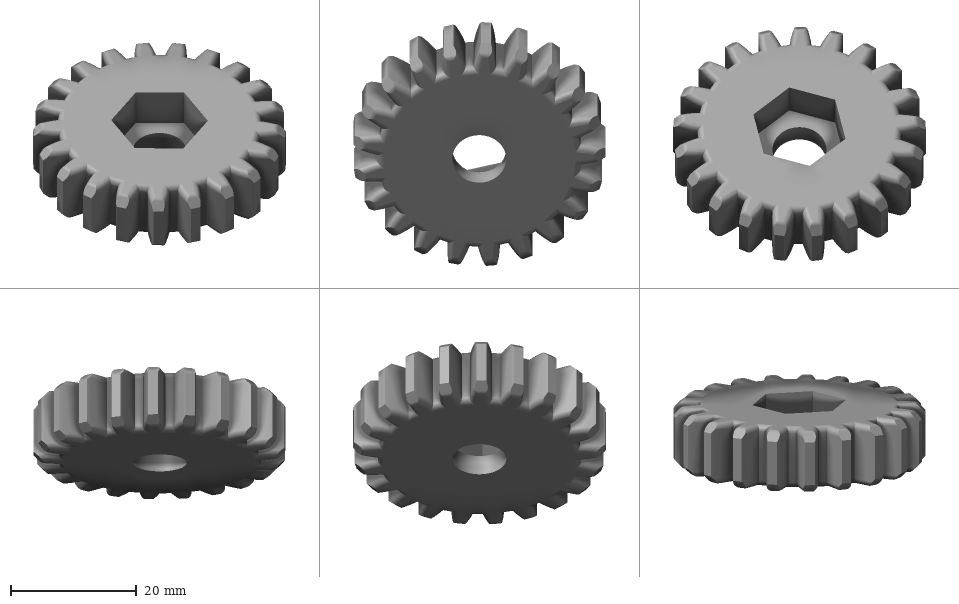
import cadquery as cq
import math

overall_width = 40.2
thickness = 10.0
tooth_count = 21
tip_land_angle = 4.5
pitch_radius = 18.38
pitch_half_thickness = 1.35
root_half_thickness = 1.75
root_radius = 16.2
tip_chamfer = 1.5
edge_fillet = 1.0
bore_diameter = 8.55
hex_across_corners = 15.35
hex_depth = 6.5
cut_margin = 2.0

pitch_angle = 360.0 / tooth_count
width_corner_angle = pitch_angle / 4 - tip_land_angle / 2
tip_radius = overall_width / 2 / math.cos(math.radians(width_corner_angle))
tip_flat_distance = tip_radius * math.cos(math.radians(tip_land_angle / 2))


def space_point(radius, tooth_half_angle, side):
    """Point on a flank of the tooth space centred on the -Y axis."""
    angle = math.radians(pitch_angle / 2 - tooth_half_angle)
    return (side * radius * math.sin(angle), -radius * math.cos(angle))


def half_angle(half_thickness, radius):
    """Half the angle that a tooth spans at a radius, in degrees."""
    return math.degrees(math.asin(half_thickness / radius))


def tooth_space():
    """Cutter for one gap: flat root, two arc flanks, open beyond the tips."""
    root_angle = half_angle(root_half_thickness, root_radius)
    middle_angle = half_angle(pitch_half_thickness, pitch_radius)
    left_root, right_root = [space_point(root_radius, root_angle, side) for side in (-1, 1)]
    left_middle, right_middle = [space_point(pitch_radius, middle_angle, side) for side in (-1, 1)]
    left_tip, right_tip = [space_point(tip_radius, tip_land_angle / 2, side) for side in (-1, 1)]
    outer_y = -(tip_radius + cut_margin)
    return (
        cq.Workplane("XY")
        .moveTo(*left_root)
        .lineTo(*right_root)
        .threePointArc(right_middle, right_tip)
        .lineTo(right_tip[0], outer_y)
        .lineTo(left_tip[0], outer_y)
        .lineTo(*left_tip)
        .threePointArc(left_middle, left_root)
        .close()
        .extrude(thickness)
    )


def gear_blank():
    """Chamfered regular prism with one flat side per tooth, so tooth tips are flat."""
    blank_diameter = 2 * tip_flat_distance / math.cos(math.radians(pitch_angle / 2))
    blank = cq.Workplane("XY").polygon(tooth_count, blank_diameter).extrude(thickness)
    first_flat_turn = 90 + pitch_angle / 2
    return (
        blank.rotate((0, 0, 0), (0, 0, 1), first_flat_turn)
        .faces("<Z or >Z")
        .edges()
        .chamfer(tip_chamfer)
    )


def gear_body():
    """Blank with the tooth spaces cut and both face outlines rounded."""
    body = gear_blank()
    space = tooth_space()
    for index in range(tooth_count):
        body = body.cut(space.rotate((0, 0, 0), (0, 0, 1), index * pitch_angle))
    return body.faces("<Z or >Z").edges().fillet(edge_fillet)


result = (
    gear_body()
    .faces(">Z")
    .workplane()
    .hole(bore_diameter)
    .faces(">Z")
    .workplane()
    .polygon(6, hex_across_corners)
    .cutBlind(-hex_depth)
)